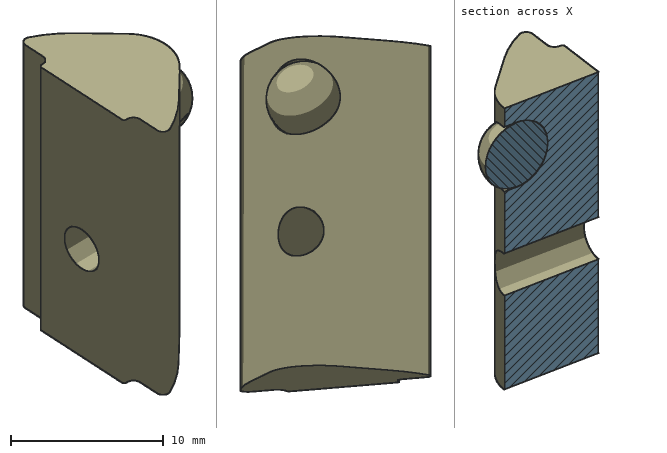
import cadquery as cq
import math

length = 22.0
width = 13.46
crown_radius = 3.45
crown_height = 7.57
flank_angle = math.radians(45)
flank_end_y = 4.07
wing_bottom_y = 0.88
wing_tip_radius = 0.5
wing_tip_angle = math.radians(25)
foot_half_width = 4.0
foot_edge_radius = 0.2
cove_radius = 0.6

hole_diameter = 3.25
hole_z = 9.0

ball_radius = 2.5
total_depth = 9.1
ball_y = total_depth - ball_radius
ball_z = 18.0


def on_circle(center, radius, angle):
    """Point on a circle at an angle measured from +X."""
    return (center[0] + radius * math.cos(angle), center[1] + radius * math.sin(angle))


def make_profile():
    """Closed outline: right half drawn from the foot to the crown, then mirrored."""
    tip_center = (width / 2 - wing_tip_radius, wing_bottom_y + wing_tip_radius)
    tip_end = on_circle(tip_center, wing_tip_radius, wing_tip_angle)
    crown_center = (0, crown_height - crown_radius)
    crown_end = on_circle(crown_center, crown_radius, flank_angle)
    flank_end_x = crown_end[0] + (crown_end[1] - flank_end_y) * math.tan(flank_angle)
    crown_middle = on_circle(crown_center, crown_radius, (flank_angle + math.pi / 2) / 2)
    flank_direction = (math.sin(flank_angle), -math.cos(flank_angle))
    flank_curve = cq.Edge.makeTangentArc(
        cq.Vector(flank_end_x, flank_end_y), cq.Vector(*flank_direction), cq.Vector(*tip_end)
    )
    flank_middle = flank_curve.positionAt(0.5).toTuple()[:2]
    return (
        cq.Workplane("XY")
        .lineTo(foot_half_width - foot_edge_radius, 0)
        .radiusArc((foot_half_width, foot_edge_radius), -foot_edge_radius)
        .lineTo(foot_half_width, wing_bottom_y - cove_radius)
        .radiusArc((foot_half_width + cove_radius, wing_bottom_y), cove_radius)
        .lineTo(tip_center[0], wing_bottom_y)
        .threePointArc((width / 2, tip_center[1]), tip_end)
        .threePointArc(flank_middle, (flank_end_x, flank_end_y))
        .lineTo(*crown_end)
        .threePointArc(crown_middle, (0, crown_height))
        .mirrorY()
    )


def make_ball():
    return cq.Workplane("XY").sphere(ball_radius).translate((0, ball_y, ball_z))


def make_rod(radius, start_y, z):
    """Cylinder along +Y from start_y past the crown."""
    return (
        cq.Workplane("XZ", origin=(0, start_y, z))
        .circle(radius)
        .extrude(-(total_depth - start_y))
    )


def make_nut():
    nut = make_profile().extrude(length)
    nut = nut.cut(make_rod(hole_diameter / 2, 0, hole_z))
    nut = nut.cut(make_rod(ball_radius, ball_y, ball_z))
    return nut.cut(make_ball())


nut = make_nut()
ball = make_ball()

result = cq.Compound.makeCompound([nut.solids().val(), ball.val()])